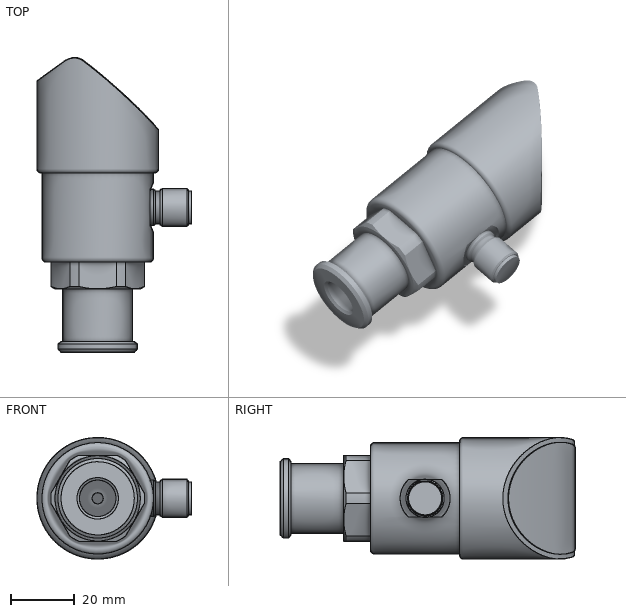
import math

import cadquery as cq


TUBE_DIAMETER = 22.0
BEAD_DIAMETER = 25.0
BEAD_CHAMFER = 1.0
BEAD_SHOULDER_START = 2.6
BEAD_SHOULDER_END = 3.4
BEAD_SHOULDER_DIAMETER = 23.0

HEX_START = 19.9
HEX_ACROSS_FLATS = 27.0
HEX_CORNER_DIAMETER = 29.5
HEX_FACE_DIAMETER = 26.8
HEX_CHAMFER_ANGLE = 30.0

BODY_START = 28.3
BODY_DIAMETER = 35.0
BODY_FILLET = 1.4

HEAD_START = 56.35
HEAD_DIAMETER = 38.2
HEAD_FILLET = 1.2
BACK_SLOPE_HEIGHT = 85.2
RIDGE_X = -7.4
RIDGE_HEIGHT = 93.67
RIDGE_RADIUS = 5.0
DISPLAY_MIDDLE = (7.6, 81.35)
DISPLAY_END_HEIGHT = 69.9
FOIL_THICKNESS = 0.2
FOIL_DIAMETER = 35.2
FOIL_START_X = -8.0

BORE_DIAMETER = 11.45
BORE_MOUTH_DIAMETER = 13.0
BORE_DEPTH = 15.0
PORT_DIAMETER = 3.5
PORT_DEPTH = 5.0

CONNECTOR_Y = 45.5
SPOTFACE_DIAMETER = 15.7
SPOTFACE_X = 16.5
COLLAR_DIAMETER = 11.5
COLLAR_END = 17.6
NECK_DIAMETER = 10.4
NECK_START = 18.15
NECK_END = 19.6
THREAD_DIAMETER = 12.0
THREAD_ROOT_DIAMETER = 11.0
THREAD_START = 20.4
THREAD_END = 28.0
THREAD_CHAMFER = 0.5
CONNECTOR_END = 29.5


def cylinder_along_y(diameter, start, end):
    """Cylinder around the Y axis between two Y positions."""
    return cq.Workplane("XZ", origin=(0, start, 0)).circle(diameter / 2).extrude(start - end)


def revolve_around_y(points):
    """Solid of revolution around Y from (radius, Y) points."""
    return cq.Workplane("XY").polyline(points).close().revolve(360, (0, 0), (0, 1))


def make_hose_end():
    bead_radius = BEAD_DIAMETER / 2
    return revolve_around_y([
        (0, 0),
        (bead_radius - BEAD_CHAMFER, 0),
        (bead_radius, BEAD_CHAMFER),
        (bead_radius, BEAD_SHOULDER_START),
        (BEAD_SHOULDER_DIAMETER / 2, BEAD_SHOULDER_END),
        (TUBE_DIAMETER / 2, BEAD_SHOULDER_END),
        (TUBE_DIAMETER / 2, HEX_START),
        (0, HEX_START),
    ])


def make_hexagon():
    """Hexagon with rounded corners and a conical lead-in on its hose side."""
    hexagon = (
        cq.Workplane("XZ", origin=(0, HEX_START, 0))
        .polygon(6, HEX_ACROSS_FLATS / math.cos(math.radians(30)))
        .extrude(HEX_START - BODY_START)
    )
    corner_radius = HEX_CORNER_DIAMETER / 2
    face_radius = HEX_FACE_DIAMETER / 2
    chamfer_height = (corner_radius - face_radius) * math.tan(math.radians(HEX_CHAMFER_ANGLE))
    envelope = revolve_around_y([
        (0, HEX_START),
        (face_radius, HEX_START),
        (corner_radius, HEX_START + chamfer_height),
        (corner_radius, BODY_START),
        (0, BODY_START),
    ])
    return hexagon.intersect(envelope)


def make_body():
    """Cylindrical body with a flat spotface for the connector."""
    body = cylinder_along_y(BODY_DIAMETER, BODY_START, HEAD_START).faces("<Y").edges().fillet(BODY_FILLET)
    spotface = (
        cq.Workplane("YZ", origin=(SPOTFACE_X, CONNECTOR_Y, 0))
        .circle(SPOTFACE_DIAMETER / 2)
        .extrude(BODY_DIAMETER / 2)
    )
    return body.cut(spotface)


def make_slanted_block(raised_by=0.0):
    """Block with a flat back slope and a slightly domed display slope that meet in a rounded ridge."""
    radius = HEAD_DIAMETER / 2
    ridge_height = RIDGE_HEIGHT + raised_by
    block = (
        cq.Workplane("XY")
        .moveTo(-radius, HEAD_START)
        .lineTo(-radius, BACK_SLOPE_HEIGHT + raised_by)
        .lineTo(RIDGE_X, ridge_height)
        .threePointArc(
            (DISPLAY_MIDDLE[0], DISPLAY_MIDDLE[1] + raised_by),
            (radius, DISPLAY_END_HEIGHT + raised_by),
        )
        .lineTo(radius, HEAD_START)
        .close()
        .extrude(radius, both=True)
    )
    ridge = cq.selectors.NearestToPointSelector((RIDGE_X, ridge_height, 0))
    return block.edges(ridge).fillet(RIDGE_RADIUS)


def make_head():
    cylinder = cylinder_along_y(HEAD_DIAMETER, HEAD_START, RIDGE_HEIGHT)
    return cylinder.faces("<Y").edges().fillet(HEAD_FILLET).intersect(make_slanted_block())


def make_display_foil():
    """Thin raised foil on the display slope, set in from the rim of the head."""
    outline = cylinder_along_y(FOIL_DIAMETER, HEAD_START, RIDGE_HEIGHT).intersect(
        cq.Workplane("XY")
        .box(HEAD_DIAMETER, RIDGE_HEIGHT, HEAD_DIAMETER, centered=(False, False, True))
        .translate((FOIL_START_X, HEAD_START, 0))
    )
    return outline.intersect(make_slanted_block(FOIL_THICKNESS))


def make_connector():
    collar_radius = COLLAR_DIAMETER / 2
    neck_radius = NECK_DIAMETER / 2
    thread_radius = THREAD_DIAMETER / 2
    profile = [
        (0, 0),
        (0, collar_radius),
        (COLLAR_END, collar_radius),
        (NECK_START, neck_radius),
        (NECK_END, neck_radius),
        (NECK_END, THREAD_ROOT_DIAMETER / 2),
        (THREAD_START, thread_radius),
        (THREAD_END, thread_radius),
        (THREAD_END + THREAD_CHAMFER, thread_radius - THREAD_CHAMFER),
        (THREAD_END + THREAD_CHAMFER, neck_radius),
        (CONNECTOR_END, neck_radius),
        (CONNECTOR_END, 0),
    ]
    connector = cq.Workplane("XY").polyline(profile).close().revolve(360, (0, 0), (1, 0))
    return connector.translate((0, CONNECTOR_Y, 0))


def make_bore():
    """Blind bore with a conical mouth and a small port in its floor."""
    bore_radius = BORE_DIAMETER / 2
    mouth_radius = BORE_MOUTH_DIAMETER / 2
    port_radius = PORT_DIAMETER / 2
    return revolve_around_y([
        (0, 0),
        (mouth_radius, 0),
        (bore_radius, mouth_radius - bore_radius),
        (bore_radius, BORE_DEPTH),
        (port_radius, BORE_DEPTH),
        (port_radius, BORE_DEPTH + PORT_DEPTH),
        (0, BORE_DEPTH + PORT_DEPTH),
    ])


result = (
    make_hose_end()
    .union(make_hexagon())
    .union(make_body())
    .union(make_head())
    .union(make_display_foil())
    .union(make_connector())
    .cut(make_bore())
)